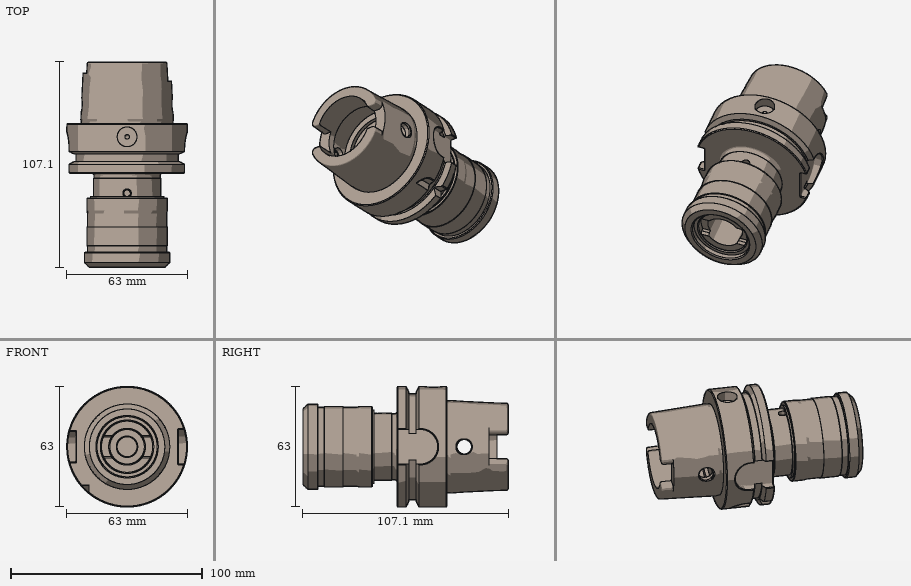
import cadquery as cq

tolerance = 0.01
clearance = 1.0

shank_length = 32.0
gauge_radius = 24.0
gauge_distance = 6.3
taper_slope = 1 / 20
taper_start = 2.1
neck_length = 0.9
neck_radius = 24.0
shank_end_round = 1.0
shank_bore_radius = 17.0
shank_bore_depth = 30.0
clamp_recess_radius = 20.5
clamp_recess_start = 4.0
clamp_recess_end = 18.0
cross_hole_radius = 3.75
cross_hole_y = 9.05
cross_hole_rim_radius = 4.4
cross_hole_rim_depth = 1.0

drive_slot_width = 12.5
left_drive_slot_depth = 5.8
right_drive_slot_depth = 10.0
drive_slot_lip_fillet = 2.4

flange_radius = 31.5
flange_length = 26.0
flange_chamfer = 0.5
groove_floor_radius = 27.65
groove_shoulder_radius = 28.7
groove_back_edge = 14.6
groove_back_wall = 16.0
groove_front_wall = 19.8
groove_front_edge = 21.4

gripper_floor_x = 26.75
left_gripper_width = 16.0
right_gripper_width = 18.0
gripper_end_y = -4.8
gripper_floor_fillet = 0.4
gripper_lip = 0.5
notch_floor_x = 19.9
notch_wall_z = -20.3
notch_cutter_radius = 8.0
notch_end_y = -4.1
notch_lip = 0.4

chip_pocket_radius = 5.15
chip_pocket_y = -7.0
chip_pocket_floor_z = 26.0
center_mark_radius = 1.2
center_mark_depth = 1.2
stem_hole_radius = 2.2
stem_hole_floor_chamfer = 0.5
stem_hole_y = 36.4
stem_hole_depth = 3.0

chuck_end = 75.1
stem_fillet_radius = 1.3
stem_relief_radius = 17.3
stem_relief_end = 28.5
stem_radius = 17.6
stem_end = 38.0
collar_start = 38.9
collar_radius = 19.2
sleeve_radius = 21.0
sleeve_chamfer = 0.3
sleeve_band_radius = 20.7
sleeve_band_start = 45.6
sleeve_band_taper = 1.4
sleeve_band_end = 54.1
sleeve_end = 64.0
cap_start = 67.6
cap_back_chamfer = 0.5
cap_radius = 22.3
cap_chamfer = 2.6

mouth_radius = 15.7
mouth_depth = 3.0
mouth_chamfer = 0.6
seat_radius = 13.35
seat_chamfer = 0.6
seat_depth = 0.8
key_slot_width = 10.2
key_slot_depth = 3.4
key_slot_chamfer_width = 0.8
key_slot_chamfer_depth = 1.6
main_bore_radius = 9.6
main_bore_floor_chamfer = 0.6
main_bore_depth = 35.0
inner_bore_radius = 5.2
inner_bore_chamfer = 0.4
inner_bore_depth = 40.0


def taper_radius(y):
    return gauge_radius + (gauge_distance - y) * taper_slope


def turned(points):
    """Revolve an outline of (radius, y) points about the Y axis."""
    return cq.Workplane("XY").polyline(points).close().revolve(360, (0, 0, 0), (0, 1, 0))


def bore(radius, y_start, y_end):
    """Cylinder about the Y axis."""
    return cq.Workplane("XZ", origin=(0, y_start, 0)).circle(radius).extrude(y_start - y_end)


def turned_body():
    outline = (
        cq.Workplane("XY")
        .moveTo(0, shank_length)
        .lineTo(taper_radius(shank_length), shank_length)
        .lineTo(taper_radius(taper_start), taper_start)
        .lineTo(neck_radius, neck_length)
        .lineTo(neck_radius, 0)
        .lineTo(flange_radius - flange_chamfer, 0)
        .lineTo(flange_radius, -flange_chamfer)
        .lineTo(flange_radius, -flange_length)
        .lineTo(stem_relief_radius + stem_fillet_radius, -flange_length)
        .radiusArc((stem_relief_radius, -flange_length - stem_fillet_radius), -stem_fillet_radius)
        .lineTo(stem_relief_radius, -stem_relief_end)
        .lineTo(stem_radius, -stem_relief_end - stem_radius + stem_relief_radius)
        .lineTo(stem_radius, -stem_end)
        .lineTo(collar_radius, -stem_end)
        .lineTo(collar_radius, -collar_start)
        .lineTo(sleeve_radius - sleeve_chamfer, -collar_start)
        .lineTo(sleeve_radius, -collar_start - sleeve_chamfer)
        .lineTo(sleeve_radius, -sleeve_band_start)
        .lineTo(sleeve_band_radius, -sleeve_band_start - sleeve_band_taper)
        .lineTo(sleeve_band_radius, -sleeve_band_end)
        .lineTo(sleeve_radius, -sleeve_band_end)
        .lineTo(sleeve_radius, -sleeve_end + sleeve_chamfer)
        .lineTo(sleeve_band_radius, -sleeve_end)
        .lineTo(sleeve_band_radius, -cap_start + cap_back_chamfer)
        .lineTo(cap_radius - cap_back_chamfer, -cap_start + cap_back_chamfer)
        .lineTo(cap_radius, -cap_start)
        .lineTo(cap_radius, -chuck_end + cap_chamfer)
        .lineTo(cap_radius - cap_chamfer, -chuck_end)
        .lineTo(0, -chuck_end)
        .close()
    )
    return outline.revolve(360, (0, 0, 0), (0, 1, 0))


def cut_drive_slot(body, side, depth):
    """Slot in the shank's end on one side, with the edges of its walls rounded onto the taper."""
    half_width = drive_slot_width / 2
    slot = (
        cq.Workplane("XY")
        .box(gauge_radius, depth, drive_slot_width, centered=(False, False, True))
        .translate((0, shank_length - depth, 0))
    )
    if side < 0:
        slot = slot.mirror("YZ")
    body = body.cut(slot)
    lip = []
    for edge in body.edges().vals():
        center = edge.Center()
        along_wall = abs(abs(center.z) - half_width) < tolerance
        on_taper = side * center.x > shank_bore_radius
        below_end = shank_length - depth < center.y < shank_length - tolerance
        if along_wall and on_taper and below_end:
            lip.append(edge)
    return body.newObject(lip).fillet(drive_slot_lip_fillet)


def round_shank_end(body):
    """Round the outer edges of the end face, which run around the slot lips too."""
    rim = body.faces(">Y").edges("not %LINE")
    return rim.fillet(shank_end_round)


def cross_hole():
    """Hole through both shank walls, with its rims broken by shallow cones."""
    hole = (
        cq.Workplane("YZ")
        .center(cross_hole_y, 0)
        .circle(cross_hole_radius)
        .extrude(flange_radius, both=True)
    )
    for side in (-1, 1):
        cone = cq.Solid.makeCone(
            cross_hole_rim_radius,
            cross_hole_radius,
            cross_hole_rim_depth,
            cq.Vector(side * taper_radius(cross_hole_y), cross_hole_y, 0),
            cq.Vector(-side, 0, 0),
        )
        hole = hole.union(cq.Workplane(cone))
    return hole


def flange_groove():
    groove_section = [
        (flange_radius, -groove_back_edge),
        (groove_shoulder_radius, -groove_back_wall),
        (groove_floor_radius, -groove_back_wall),
        (groove_floor_radius, -groove_front_wall),
        (groove_shoulder_radius, -groove_front_wall),
        (flange_radius, -groove_front_edge),
        (flange_radius + clearance, -groove_front_edge),
        (flange_radius + clearance, -groove_back_edge),
    ]
    return turned(groove_section)


def flange_rim():
    """Ring that chamfers the flange's front corner."""
    rim_section = [
        (flange_radius, -flange_length + flange_chamfer),
        (flange_radius - flange_chamfer, -flange_length),
        (flange_radius, -flange_length),
    ]
    return turned(rim_section)


def flange_slot_cutter(half_width, floor_x, end_y, center_z):
    """Round-ended slot along Y on the +X side, open at the flange's front."""
    arc_y = end_y - half_width
    return (
        cq.Workplane("YZ", origin=(floor_x, 0, center_z))
        .moveTo(-flange_length, half_width)
        .lineTo(arc_y, half_width)
        .threePointArc((end_y, 0), (arc_y, -half_width))
        .lineTo(-flange_length, -half_width)
        .close()
        .extrude(flange_radius)
    )


def lip_edges(body, side, floor_x, low_z, high_z):
    """Edges of a slot's walls on the outside and on the front face of the flange."""
    lip = []
    for edge in body.edges().vals():
        box = edge.BoundingBox()
        far_x = max(side * box.xmin, side * box.xmax)
        in_flange = -flange_length - tolerance < box.ymin and box.ymax < -flange_chamfer - tolerance
        in_slot = low_z - tolerance < box.zmin and box.zmax < high_z + tolerance
        above_floor = far_x > floor_x + clearance
        across_wall = box.ylen < tolerance and box.ymin > -flange_length + tolerance
        if in_flange and in_slot and above_floor and not across_wall:
            lip.append(edge)
    return lip


def cut_gripper_slot(body, side, width):
    half_width = width / 2
    cutter = flange_slot_cutter(half_width, gripper_floor_x, gripper_end_y, 0)
    cutter = cutter.faces("<X").edges("not(<Y)").fillet(gripper_floor_fillet)
    if side < 0:
        cutter = cutter.mirror("YZ")
    body = body.cut(cutter)
    lip = lip_edges(body, side, gripper_floor_x, -half_width, half_width)
    return body.newObject(lip).chamfer(gripper_lip)


def cut_index_notch(body):
    """Only the upper wall of this slot lies within the flange."""
    center_z = notch_wall_z - notch_cutter_radius
    cutter = flange_slot_cutter(notch_cutter_radius, notch_floor_x, notch_end_y, center_z)
    body = body.cut(cutter.mirror("YZ"))
    lip = lip_edges(body, -1, notch_floor_x, -flange_radius, notch_wall_z)
    return body.newObject(lip).chamfer(notch_lip)


def chip_pocket():
    """Flat-bottomed pocket on top of the flange with a conical center mark in its floor."""
    floor = cq.Workplane("XY", origin=(0, chip_pocket_y, chip_pocket_floor_z))
    pocket = floor.circle(chip_pocket_radius).extrude(flange_radius)
    center_mark = cq.Solid.makeCone(
        center_mark_radius,
        0,
        center_mark_depth,
        cq.Vector(0, chip_pocket_y, chip_pocket_floor_z),
        cq.Vector(0, 0, -1),
    )
    return pocket.union(cq.Workplane(center_mark))


def stem_hole():
    """Blind hole with a chamfered floor on top of the stem, just behind the collar."""
    hole = (
        cq.Workplane("XY", origin=(0, -stem_hole_y, stem_radius - stem_hole_depth))
        .circle(stem_hole_radius)
        .extrude(2 * stem_hole_depth)
        .faces("<Z")
        .chamfer(stem_hole_floor_chamfer)
    )
    behind_collar = (
        cq.Workplane("XY")
        .box(flange_radius, stem_end, flange_radius, centered=(True, False, False))
        .translate((0, -stem_end, 0))
    )
    return hole.intersect(behind_collar)


def chuck_bore():
    """Stepped bore; every step but the main bore has a chamfered rim."""
    seat_y = mouth_depth + seat_depth
    section = [
        (0, 0),
        (mouth_radius + mouth_chamfer, 0),
        (mouth_radius, mouth_chamfer),
        (mouth_radius, mouth_depth),
        (seat_radius + seat_chamfer, mouth_depth),
        (seat_radius, mouth_depth + seat_chamfer),
        (seat_radius, seat_y),
        (main_bore_radius, seat_y),
        (main_bore_radius, main_bore_depth - main_bore_floor_chamfer),
        (main_bore_radius - main_bore_floor_chamfer, main_bore_depth),
        (inner_bore_radius + inner_bore_chamfer, main_bore_depth),
        (inner_bore_radius, main_bore_depth + inner_bore_chamfer),
        (inner_bore_radius, inner_bore_depth),
        (0, inner_bore_depth),
    ]
    return turned([(radius, depth - chuck_end) for radius, depth in section])


def key_slot():
    """Slot across the seat of the chuck bore, along X, with chamfered rims."""
    seat_y = mouth_depth + seat_depth - chuck_end
    half_width = key_slot_width / 2
    rim_half_width = half_width + key_slot_chamfer_width
    slot = (
        cq.Workplane("YZ")
        .moveTo(seat_y, -rim_half_width)
        .lineTo(seat_y + key_slot_chamfer_depth, -half_width)
        .lineTo(seat_y + key_slot_depth, -half_width)
        .lineTo(seat_y + key_slot_depth, half_width)
        .lineTo(seat_y + key_slot_chamfer_depth, half_width)
        .lineTo(seat_y, rim_half_width)
        .close()
        .extrude(seat_radius, both=True)
    )
    return slot.intersect(bore(seat_radius, seat_y, seat_y + key_slot_depth))


result = turned_body()
result = cut_gripper_slot(result, -1, left_gripper_width)
result = cut_gripper_slot(result, 1, right_gripper_width)
result = cut_index_notch(result)
result = result.cut(flange_rim())
result = result.cut(flange_groove())
result = cut_drive_slot(result, -1, left_drive_slot_depth)
result = cut_drive_slot(result, 1, right_drive_slot_depth)
result = round_shank_end(result)
result = result.cut(bore(shank_bore_radius, shank_length - shank_bore_depth, shank_length))
result = result.cut(bore(clamp_recess_radius, clamp_recess_start, clamp_recess_end))
result = result.cut(cross_hole())
result = result.cut(chip_pocket())
result = result.cut(stem_hole())
result = result.cut(chuck_bore())
result = result.cut(key_slot())